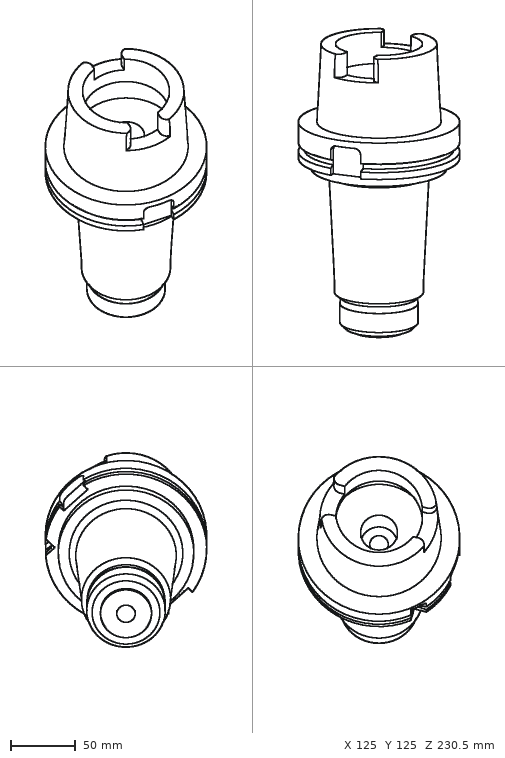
import cadquery as cq

TOTAL_HEIGHT = 230.5
TIP_TOP = 2.8
NUT_CHAMFER_TOP = 7.0
NUT_TOP = 22.1
NECK_TOP = 27.5
BODY_BOTTOM = 31.0
BODY_CONE_BOTTOM = 38.7
BODY_TOP = 125.5
COLLAR_BOTTOM = 130.5
FLANGE_BOTTOM = 138.7
FLANGE_TOP = 168.0

TIP_RADIUS = 19.8
NUT_RADIUS = 30.5
NECK_RADIUS = 30.2
NUT_CHAMFER = NUT_CHAMFER_TOP - TIP_TOP
BODY_LOWER_RADIUS = 34.5
BODY_UPPER_RADIUS = 39.0
TRANSITION_RADIUS = 44.0
COLLAR_RADIUS = 52.5
FLANGE_DIAMETER = 125.0
FLANGE_RADIUS = FLANGE_DIAMETER / 2
SHANK_BASE_RADIUS = 48.2
SHANK_TOP_RADIUS = 45.0

GROOVE_MIDDLE = 147.7
GROOVE_MOUTH = 7.0
GROOVE_FLOOR_WIDTH = 3.7
GROOVE_RADIUS = 58.0

CLAMP_BORE_RADIUS = 33.6
CLAMP_BORE_DEPTH = 25.0
UNDERCUT_RADIUS = 39.6
UNDERCUT_DEPTH = 50.0
STEP_BORE_RADIUS = 14.3
STEP_BORE_DEPTH = 27.6
THROUGH_BORE_RADIUS = 7.1

DRIVE_HALF_WIDTH = 12.7
DRIVE_CORNER_RADIUS = 6.0
DRIVE_MOUTH_X = 41.2
DRIVE_DEPTH_LEFT = 12.0
DRIVE_DEPTH_RIGHT = 18.7

KEYWAY_WIDTH = 25.5
KEYWAY_FLOOR = 56.5
KEYWAY_TOP = 163.0
KEYWAY_CORNER_RADIUS = 5.0
NOTCH_WALL_Y = 39.0
NOTCH_FLOOR = 39.2

CLEARANCE = 4.5


def outer_body():
    groove_low = GROOVE_MIDDLE - GROOVE_MOUTH / 2
    groove_high = GROOVE_MIDDLE + GROOVE_MOUTH / 2
    floor_low = GROOVE_MIDDLE - GROOVE_FLOOR_WIDTH / 2
    floor_high = GROOVE_MIDDLE + GROOVE_FLOOR_WIDTH / 2
    profile = [
        (0, 0),
        (TIP_RADIUS, 0),
        (TIP_RADIUS, TIP_TOP),
        (NUT_RADIUS - NUT_CHAMFER, TIP_TOP),
        (NUT_RADIUS, NUT_CHAMFER_TOP),
        (NUT_RADIUS, NUT_TOP),
        (NECK_RADIUS, NUT_TOP),
        (NECK_RADIUS, NECK_TOP),
        (BODY_LOWER_RADIUS, BODY_BOTTOM),
        (BODY_LOWER_RADIUS, BODY_CONE_BOTTOM),
        (BODY_UPPER_RADIUS, BODY_TOP),
        (TRANSITION_RADIUS, COLLAR_BOTTOM),
        (COLLAR_RADIUS, COLLAR_BOTTOM),
        (COLLAR_RADIUS, FLANGE_BOTTOM),
        (FLANGE_RADIUS, FLANGE_BOTTOM),
        (FLANGE_RADIUS, groove_low),
        (GROOVE_RADIUS, floor_low),
        (GROOVE_RADIUS, floor_high),
        (FLANGE_RADIUS, groove_high),
        (FLANGE_RADIUS, FLANGE_TOP),
        (SHANK_BASE_RADIUS, FLANGE_TOP),
        (SHANK_TOP_RADIUS, TOTAL_HEIGHT),
        (0, TOTAL_HEIGHT),
    ]
    return cq.Workplane("XZ").polyline(profile).close().revolve(360, (0, 0, 0), (0, 1, 0))


def bores():
    """Clamping bore with an undercut below it, then a step bore and a through bore."""
    clamp_bottom = TOTAL_HEIGHT - CLAMP_BORE_DEPTH
    undercut_bottom = TOTAL_HEIGHT - UNDERCUT_DEPTH
    step_bottom = undercut_bottom - STEP_BORE_DEPTH
    profile = [
        (0, 0),
        (THROUGH_BORE_RADIUS, 0),
        (THROUGH_BORE_RADIUS, step_bottom),
        (STEP_BORE_RADIUS, step_bottom),
        (STEP_BORE_RADIUS, undercut_bottom),
        (UNDERCUT_RADIUS, undercut_bottom),
        (UNDERCUT_RADIUS, clamp_bottom),
        (CLAMP_BORE_RADIUS, clamp_bottom),
        (CLAMP_BORE_RADIUS, TOTAL_HEIGHT),
        (0, TOTAL_HEIGHT),
    ]
    return cq.Workplane("XZ").polyline(profile).close().revolve(360, (0, 0, 0), (0, 1, 0))


def drive_slot(depth):
    """Slot toward +X whose sides flare outward around rounded prong corners."""
    corner_x = DRIVE_MOUTH_X - DRIVE_CORNER_RADIUS
    flare_y = DRIVE_HALF_WIDTH + DRIVE_CORNER_RADIUS
    outer_x = SHANK_BASE_RADIUS + CLEARANCE
    return (
        cq.Workplane("XY", origin=(0, 0, TOTAL_HEIGHT - depth))
        .moveTo(0, -DRIVE_HALF_WIDTH)
        .lineTo(corner_x, -DRIVE_HALF_WIDTH)
        .radiusArc((DRIVE_MOUTH_X, -flare_y), DRIVE_CORNER_RADIUS)
        .lineTo(outer_x, -flare_y)
        .lineTo(outer_x, flare_y)
        .lineTo(DRIVE_MOUTH_X, flare_y)
        .radiusArc((corner_x, DRIVE_HALF_WIDTH), DRIVE_CORNER_RADIUS)
        .lineTo(0, DRIVE_HALF_WIDTH)
        .close()
        .extrude(depth + CLEARANCE)
    )


def flange_cutter(floor_x, y_low, y_high):
    """Flat-floored cutter on the +X side with rounded upper corners."""
    length = FLANGE_RADIUS + CLEARANCE - floor_x
    return (
        cq.Workplane("XY", origin=(floor_x, y_low, FLANGE_BOTTOM))
        .box(length, y_high - y_low, KEYWAY_TOP - FLANGE_BOTTOM, centered=False)
        .edges("|X and >Z")
        .fillet(KEYWAY_CORNER_RADIUS)
    )


def turned_half(shape):
    return shape.rotate((0, 0, 0), (0, 0, 1), 180)


keyway = flange_cutter(KEYWAY_FLOOR, -KEYWAY_WIDTH / 2, KEYWAY_WIDTH / 2)
notch = flange_cutter(NOTCH_FLOOR, -FLANGE_RADIUS - CLEARANCE, -NOTCH_WALL_Y)

result = (
    outer_body()
    .cut(bores())
    .cut(drive_slot(DRIVE_DEPTH_RIGHT))
    .cut(turned_half(drive_slot(DRIVE_DEPTH_LEFT)))
    .cut(keyway)
    .cut(turned_half(keyway))
    .cut(turned_half(notch))
)